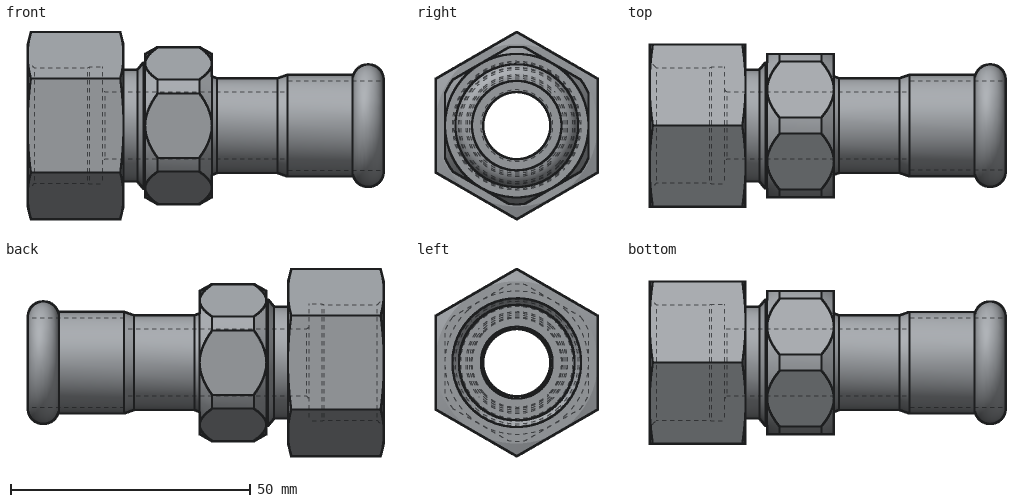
import cadquery as cq
import math

length = 74.5
socket_nut_end = 20.05
neck_end = 22.95
shoulder_end = 24.2
union_nut_start = 24.6
union_nut_end = 38.5
collar_end = 39.55
tube_end = 52.3
sleeve_start = 54.3
bead_start = 67.95

neck_diameter = 23.5
shoulder_diameter = 26.45
collar_diameter = 20.7
tube_diameter = 19.9
sleeve_diameter = 21.3
bead_diameter = 25.7
bead_radius = (length - bead_start) / 2

socket_nut_flats = 34.0
socket_nut_corners = socket_nut_flats / math.cos(math.pi / 6)
union_nut_flats = 30.0
union_nut_corners = 32.9
union_nut_chamfer = 2.6
socket_nut_chamfer = 0.7

socket_diameter = 24.15
socket_mouth_diameter = 27.0
socket_mouth_depth = (socket_mouth_diameter - socket_diameter) / 2
socket_depth = 15.65
relief_diameter = 24.4
relief_start = 12.5
relief_taper = 0.45
bore_diameter = 14.0
bore_mouth_diameter = 15.05
bore_mouth_depth = (bore_mouth_diameter - bore_diameter) / 2
press_socket_diameter = 18.7


def revolve_about_axis(profile):
    return profile.close().revolve(360, (0, 0, 0), (1, 0, 0))


def hex_nut(start, end, flats, turned_diameter, chamfer):
    """Hexagonal prism along X, turned to a cylinder and coned at both ends down to its flats."""
    prism = (
        cq.Workplane("YZ", origin=(start, 0, 0))
        .polygon(6, flats, circumscribed=True)
        .extrude(end - start)
    )
    envelope = revolve_about_axis(
        cq.Workplane("XY")
        .moveTo(start, 0)
        .lineTo(start, flats / 2)
        .lineTo(start + chamfer, turned_diameter / 2)
        .lineTo(end - chamfer, turned_diameter / 2)
        .lineTo(end, flats / 2)
        .lineTo(end, 0)
    )
    return prism.intersect(envelope)


def round_body():
    """Neck, shoulder, tube and sleeve, continuing inside both nuts, ending in a rounded bead."""
    bead_center_radius = bead_diameter / 2 - bead_radius
    stepped = revolve_about_axis(
        cq.Workplane("XY")
        .moveTo(0, 0)
        .lineTo(0, neck_diameter / 2)
        .lineTo(neck_end, neck_diameter / 2)
        .lineTo(shoulder_end, shoulder_diameter / 2)
        .lineTo(union_nut_end, shoulder_diameter / 2)
        .lineTo(union_nut_end, collar_diameter / 2)
        .lineTo(collar_end, tube_diameter / 2)
        .lineTo(tube_end, tube_diameter / 2)
        .lineTo(sleeve_start, sleeve_diameter / 2)
        .lineTo(bead_start, sleeve_diameter / 2)
        .lineTo(bead_start, 0)
    )
    bead = revolve_about_axis(
        cq.Workplane("XY")
        .moveTo(bead_start, 0)
        .lineTo(bead_start, bead_center_radius)
        .threePointArc((bead_start + bead_radius, bead_diameter / 2), (length, bead_center_radius))
        .lineTo(length, 0)
    )
    return stepped.union(bead)


def inner_passage():
    """Mouth chamfer, socket bore with its end relief, through bore and press socket as one solid."""
    return revolve_about_axis(
        cq.Workplane("XY")
        .moveTo(0, 0)
        .lineTo(0, socket_mouth_diameter / 2)
        .lineTo(socket_mouth_depth, socket_diameter / 2)
        .lineTo(relief_start, socket_diameter / 2)
        .lineTo(relief_start + relief_taper, relief_diameter / 2)
        .lineTo(socket_depth, relief_diameter / 2)
        .lineTo(socket_depth, bore_mouth_diameter / 2)
        .lineTo(socket_depth + bore_mouth_depth, bore_diameter / 2)
        .lineTo(sleeve_start, bore_diameter / 2)
        .lineTo(sleeve_start, press_socket_diameter / 2)
        .lineTo(length, press_socket_diameter / 2)
        .lineTo(length, 0)
    )


socket_nut = hex_nut(0, socket_nut_end, socket_nut_flats, socket_nut_corners, socket_nut_chamfer)
union_nut = hex_nut(
    union_nut_start, union_nut_end, union_nut_flats, union_nut_corners, union_nut_chamfer
)
result = round_body().union(socket_nut).union(union_nut).cut(inner_passage())